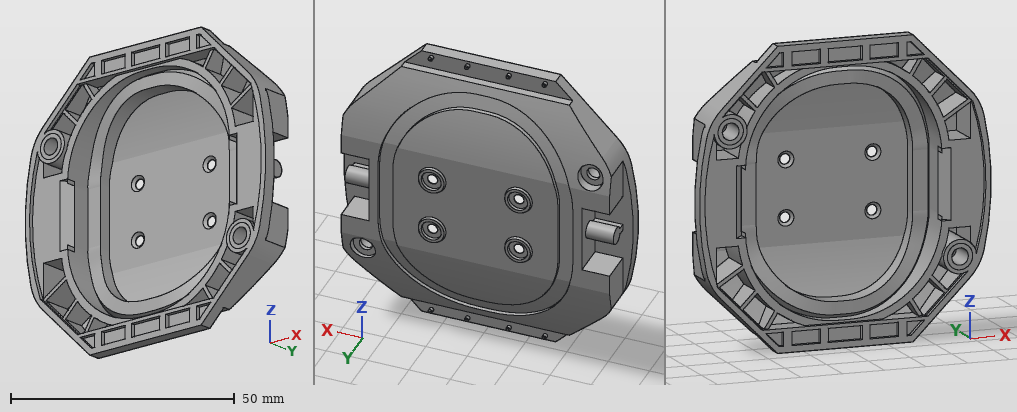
import cadquery as cq
import math


HALF_HEIGHT = 35.25
HALF_WIDTH = 35.0
TOP_HALF_WIDTH = 16.2
SIDE_RADIUS = 71.2
CORNER_RADIUS = 12.7
DIAGONAL_SUM = TOP_HALF_WIDTH + HALF_HEIGHT
FLANGE_THICKNESS = 3.1

BODY_HALF_WIDTH = 32.4
BODY_HALF_HEIGHT = 31.15
BACK_Y = 10.9
CROWN_RADIUS = 71.9
FLAT_HALF_HEIGHT = 13.2
CROWN_CENTER_Y = BACK_Y - math.sqrt(CROWN_RADIUS**2 - FLAT_HALF_HEIGHT**2)
FLOOR_THICKNESS = 1.0

RECESS_DEPTH = 1.05
RECESS_HALF_WIDTH = 33.7
RECESS_HALF_HEIGHT = 29.6
RECESS_SIDE_RADIUS = 58.5
RECESS_DIAGONAL_SUM = 49.4

BORE = (23.55, 29.05, 22.1)
LEDGE_INSET = 1.1
DISH = (18.75, 24.9, 17.35)
PLATE = (19.95, 25.4, 18.3)
LEDGE_OFFSET = 4.1
TRENCH_DEPTH = 2.1
RIM_INNER_RADIUS = 15.5
RIM_STEPS = 8
BACK_GROOVE_DEPTH = 1.0

RING_WALL = 1.9
POCKET_HALF_WIDTH = 30.45
POCKET_START_Z = 10.1
POCKET_DIAGONAL_SUM = 48.9
RIB_WIDTH = 0.9
RIB_ANGLES = (32, 45, 58)

BAR_POCKET_Z = (30.45, 33.7)
BAR_POCKET_X = ((-12.75, -5.9), (-4.1, 4.1), (5.9, 12.75))
BAR_TRIANGLE_X = 14.8
BAR_POCKET_DEPTH = 1.05

BOSS_PLACES = ((-27.5, 16.6), (27.5, -16.6))
BOSS_RADIUS = 3.95
BUSHING_RADIUS = 3.0
BUSHING_BORE_RADIUS = 2.0
BUSHING_HOLE_RADIUS = 1.55
BUSHING_LENGTH = 8.45
BUSHING_END_WALL = 1.0

SCREW_X = 10.4
SCREW_Z = 6.7
SCREW_RADIUS = 1.2
COUNTERSINK_RADIUS = 1.9
COUNTERSINK_DEPTH = 0.6
PAD_RECESS_RADIUS = 2.4
PAD_RECESS_DEPTH = 0.85
PAD_RADIUS = 3.3
PAD_TOP_RADIUS = 3.1
PAD_HEIGHT = 0.6

NOTCH_HALF_HEIGHT = 8.3
NOTCH_WALL_X = 25.7
RAIL_RADIUS = 2.05
RAIL_Y = 6.7
RAIL_STEM_WIDTH = 1.55
SIDE_CHAMFER_DEPTH = 2.55

PIP_X = (-13.75, -5.0, 5.0, 13.75)
PIP_Z = 34.1
PIP_RADIUS = 0.5
PIP_HEIGHT = 1.1
PIP_CHAMFER = 0.2


def front_plane(y=0.0):
    """Sketch plane facing the front, with local axes X and Z, at depth y."""
    return cq.Workplane("XZ", origin=(0, y, 0))


def prism(sketch, depth):
    """Extrude a front-plane sketch towards the back."""
    return sketch.extrude(-depth)


def block(x_range, y_range, z_range):
    """Box given by its limits along each axis."""
    corners = list(zip(x_range, y_range, z_range))
    size = [abs(b - a) for a, b in zip(*corners)]
    low = [min(a, b) for a, b in zip(*corners)]
    return cq.Workplane("XY").box(*size, centered=False).translate(tuple(low))


def octagon(diagonal_sum, half_width, half_height, y, depth):
    """Rectangular prism whose four corners are cut at 45 degrees."""
    top_x = diagonal_sum - half_height
    side_z = diagonal_sum - half_width
    points = [
        (top_x, half_height),
        (half_width, side_z),
        (half_width, -side_z),
        (top_x, -half_height),
        (-top_x, -half_height),
        (-half_width, -side_z),
        (-half_width, side_z),
        (-top_x, half_height),
    ]
    return prism(front_plane(y).polyline(points).close(), depth)


def bulged_octagon(diagonal_sum, half_width, half_height, side_radius, y, depth):
    """Octagon with bowed left and right sides."""
    shape = octagon(diagonal_sum, half_width, half_height, y, depth)
    for side in (-1, 1):
        center_x = side * (half_width - side_radius)
        shape = shape.intersect(prism(front_plane(y).center(center_x, 0).circle(side_radius), depth))
    return shape


def oval(sizes, y, depth):
    """Prism on a rectangle with large round corners."""
    half_width, half_height, radius = sizes
    prism_block = prism(front_plane(y).rect(2 * half_width, 2 * half_height), depth)
    return prism_block.edges("|Y").fillet(radius)


def crown(offset=0.0):
    """Space in front of the crowned back surface, moved inwards by an offset."""
    cylinder = (
        cq.Workplane("YZ", origin=(-HALF_WIDTH, 0, 0))
        .center(CROWN_CENTER_Y, 0)
        .circle(CROWN_RADIUS - offset)
        .extrude(2 * HALF_WIDTH)
    )
    slab = block((-HALF_WIDTH, HALF_WIDTH), (0, BACK_Y - offset), (-HALF_HEIGHT, HALF_HEIGHT))
    return cylinder.intersect(slab)


def outer_body():
    """Flange with the narrower crowned body behind it."""
    outline = bulged_octagon(DIAGONAL_SUM, HALF_WIDTH, HALF_HEIGHT, SIDE_RADIUS, 0, BACK_Y)
    side_zone = cq.selectors.BoxSelector(
        (-HALF_WIDTH, 0, -BODY_HALF_HEIGHT), (HALF_WIDTH, BACK_Y, BODY_HALF_HEIGHT)
    )
    outline = outline.edges("|Y").edges(side_zone).fillet(CORNER_RADIUS)
    flange = outline.intersect(
        block((-HALF_WIDTH, HALF_WIDTH), (0, FLANGE_THICKNESS), (-HALF_HEIGHT, HALF_HEIGHT))
    )
    body = outline.intersect(
        block(
            (-BODY_HALF_WIDTH, BODY_HALF_WIDTH), (0, BACK_Y), (-BODY_HALF_HEIGHT, BODY_HALF_HEIGHT)
        )
    )
    return flange.union(body.intersect(crown()))


def front_recess():
    """Shallow recess that leaves the lip and the top and bottom bars standing."""
    return bulged_octagon(
        RECESS_DIAGONAL_SUM, RECESS_HALF_WIDTH, RECESS_HALF_HEIGHT, RECESS_SIDE_RADIUS, 0, RECESS_DEPTH
    )


def crown_y(z):
    """Depth of the crowned back at height z."""
    if abs(z) <= FLAT_HALF_HEIGHT:
        return BACK_Y
    return CROWN_CENTER_Y + math.sqrt(CROWN_RADIUS**2 - z**2)


def rim_section(center_x, center_z, angle):
    """Section of the space in front of the rim, on a ray from the center of a bore corner.

    From the inside out, a level ledge is followed by a slope down into the trench at the bore wall.
    """
    bore_radius = BORE[2]
    ledge_radius = bore_radius - LEDGE_INSET
    ledge_y = crown_y(center_z + bore_radius * math.sin(angle)) - LEDGE_OFFSET
    profile = [
        (RIM_INNER_RADIUS, 0),
        (RIM_INNER_RADIUS, ledge_y),
        (ledge_radius, ledge_y),
        (bore_radius, ledge_y + TRENCH_DEPTH),
        (bore_radius, 0),
    ]
    points = [
        cq.Vector(center_x + radius * math.cos(angle), y, center_z + radius * math.sin(angle))
        for radius, y in profile
    ]
    return cq.Wire.makePolygon(points, close=True)


def rim_spaces():
    """Pieces of the space in front of the rim, whose ledge follows the crown of the back."""
    half_width, half_height, radius = BORE
    center_x = half_width - radius
    center_z = half_height - radius
    angles = [math.pi / 2 * step / RIM_STEPS for step in range(RIM_STEPS + 1)]
    sections = [rim_section(center_x, center_z, angle) for angle in angles]
    corner = cq.Workplane(cq.Solid.makeLoft(sections))
    side = cq.Workplane(cq.Solid.extrudeLinear(sections[0], [], cq.Vector(0, 0, -2 * center_z)))
    end = cq.Workplane(cq.Solid.extrudeLinear(sections[-1], [], cq.Vector(-2 * center_x, 0, 0)))
    right_corners = [corner, corner.mirror("XY")]
    left_corners = [piece.mirror("YZ") for piece in right_corners]
    return [side, side.mirror("YZ"), end, end.mirror("XY"), *right_corners, *left_corners]


def dish():
    """Oval dish with a floor parallel to the crowned back."""
    return oval(DISH, 0, BACK_Y).intersect(crown(FLOOR_THICKNESS))


def back_groove():
    """Groove of constant depth in the crowned back, around the dish."""
    ring = oval(BORE, 0, BACK_Y).cut(oval(PLATE, 0, BACK_Y))
    return ring.cut(crown(BACK_GROOVE_DEPTH))


def corner_pockets():
    """Four groups of pockets between the bore ring and the outer wall, split by radial ribs."""
    space = octagon(POCKET_DIAGONAL_SUM, POCKET_HALF_WIDTH, RECESS_HALF_HEIGHT, 0, BACK_Y)
    space = space.cut(oval(tuple(size + RING_WALL for size in BORE), 0, BACK_Y))
    space = space.cut(
        block((-HALF_WIDTH, HALF_WIDTH), (0, BACK_Y), (-POCKET_START_Z, POCKET_START_Z))
    )
    rib = prism(front_plane().rect(2 * DIAGONAL_SUM, RIB_WIDTH), BACK_Y)
    for angle in RIB_ANGLES:
        for direction in (-1, 1):
            space = space.cut(rib.rotate((0, 0, 0), (0, 1, 0), direction * angle))
    return space.intersect(crown(FLOOR_THICKNESS))


def bar_pockets():
    """Row of shallow pockets in the top bar and in the bottom bar."""
    low_z, high_z = BAR_POCKET_Z
    pockets = cq.Workplane("XY")
    for x_range in BAR_POCKET_X:
        pockets = pockets.union(block(x_range, (0, BAR_POCKET_DEPTH), BAR_POCKET_Z))
    for side in (-1, 1):
        corner = [
            (side * BAR_TRIANGLE_X, low_z),
            (side * (RECESS_DIAGONAL_SUM - low_z), low_z),
            (side * (RECESS_DIAGONAL_SUM - high_z), high_z),
            (side * BAR_TRIANGLE_X, high_z),
        ]
        pockets = pockets.union(prism(front_plane().polyline(corner).close(), BAR_POCKET_DEPTH))
    return pockets.union(pockets.mirror("XY"))


def bosses():
    """Round bosses that carry the bushings."""
    return prism(front_plane().pushPoints(BOSS_PLACES).circle(BOSS_RADIUS), BACK_Y).intersect(crown())


def side_notch():
    """Notch in the right side of the body, with the keyhole-shaped rail left standing in it."""
    x_range = (NOTCH_WALL_X, HALF_WIDTH)
    notch = block(x_range, (FLANGE_THICKNESS, BACK_Y), (-NOTCH_HALF_HEIGHT, NOTCH_HALF_HEIGHT))
    rail = (
        cq.Workplane("YZ", origin=(NOTCH_WALL_X, 0, 0))
        .center(RAIL_Y, 0)
        .circle(RAIL_RADIUS)
        .extrude(BODY_HALF_WIDTH - NOTCH_WALL_X)
    )
    half_stem = RAIL_STEM_WIDTH / 2
    stem = block((NOTCH_WALL_X, BODY_HALF_WIDTH), (FLANGE_THICKNESS, RAIL_Y), (-half_stem, half_stem))
    return notch.cut(rail).cut(stem)


def side_chamfer():
    """Wedge that widens the straight right side of the bore."""
    bore_x = BORE[0]
    points = [
        (NOTCH_WALL_X, RECESS_DEPTH),
        (bore_x, RECESS_DEPTH + SIDE_CHAMFER_DEPTH),
        (bore_x, RECESS_DEPTH),
    ]
    wedge = cq.Workplane("XY", origin=(0, 0, -NOTCH_HALF_HEIGHT)).polyline(points).close()
    return wedge.extrude(2 * NOTCH_HALF_HEIGHT)


def screw_points(plane):
    """The four screw places of the dish floor."""
    return plane.rect(2 * SCREW_X, 2 * SCREW_Z, forConstruction=True).vertices()


def pads():
    """Slightly conical pads on the back, one behind each screw hole."""
    taper = math.degrees(math.atan((PAD_RADIUS - PAD_TOP_RADIUS) / PAD_HEIGHT))
    return screw_points(front_plane(BACK_Y)).circle(PAD_RADIUS).extrude(-PAD_HEIGHT, taper=taper)


def screw_holes():
    """Countersunk holes that end in a wider recess at the back of each pad."""
    floor_y = BACK_Y - FLOOR_THICKNESS
    taper = math.degrees(math.atan((COUNTERSINK_RADIUS - SCREW_RADIUS) / COUNTERSINK_DEPTH))
    pad_back_y = BACK_Y + PAD_HEIGHT
    holes = prism(screw_points(front_plane(floor_y)).circle(SCREW_RADIUS), pad_back_y - floor_y)
    countersinks = (
        screw_points(front_plane(floor_y)).circle(COUNTERSINK_RADIUS).extrude(-COUNTERSINK_DEPTH, taper=taper)
    )
    recesses = prism(
        screw_points(front_plane(pad_back_y - PAD_RECESS_DEPTH)).circle(PAD_RECESS_RADIUS), PAD_RECESS_DEPTH
    )
    return holes.union(countersinks).union(recesses)


def pips():
    """Small chamfered pips on the back of the bars."""
    places = [(x, side * PIP_Z) for x in PIP_X for side in (-1, 1)]
    pins = prism(front_plane(FLANGE_THICKNESS).pushPoints(places).circle(PIP_RADIUS), PIP_HEIGHT)
    return pins.faces(">Y").edges().chamfer(PIP_CHAMFER)


def make_housing():
    """One-piece housing with its dish, pockets, notches and bosses."""
    housing = outer_body().cut(front_recess()).cut(corner_pockets()).cut(bar_pockets())
    housing = housing.union(bosses())
    housing = housing.cut(dish()).cut(back_groove())
    for space in rim_spaces():
        housing = housing.cut(space)
    for cutter in (side_notch(), side_chamfer()):
        housing = housing.cut(cutter).cut(cutter.mirror("YZ"))
    housing = housing.union(pads()).union(pips()).cut(screw_holes())
    return housing.cut(prism(front_plane().pushPoints(BOSS_PLACES).circle(BUSHING_RADIUS), BACK_Y))


def make_bushing(x, z):
    """Sleeve flush with the front, with a narrower hole in its end wall."""
    sleeve = prism(front_plane().center(x, z).circle(BUSHING_RADIUS), BUSHING_LENGTH)
    bore = prism(front_plane().center(x, z).circle(BUSHING_BORE_RADIUS), BUSHING_LENGTH - BUSHING_END_WALL)
    hole = prism(front_plane().center(x, z).circle(BUSHING_HOLE_RADIUS), BUSHING_LENGTH)
    return sleeve.cut(bore).cut(hole)


housing = make_housing()
bushings = [make_bushing(x, z) for x, z in BOSS_PLACES]

result = cq.Compound.makeCompound([housing.val(), *(bushing.val() for bushing in bushings)])